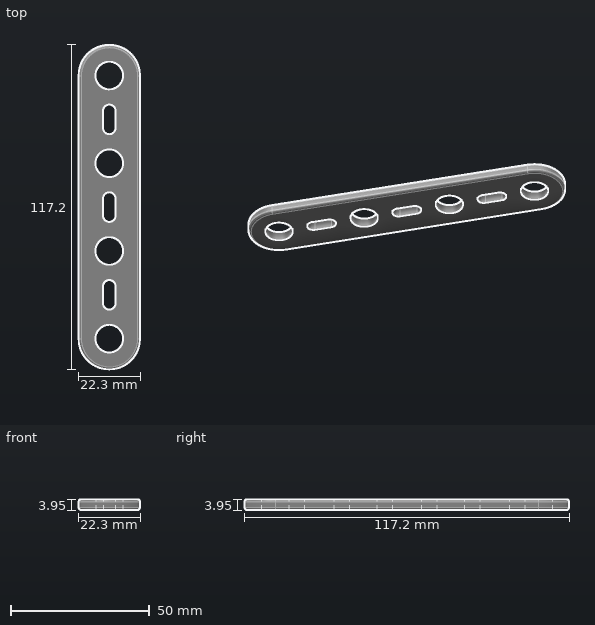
import cadquery as cq

bar_width = 22.25
bar_length = 117.16
bar_thickness = 3.95
edge_rounding = 1.0

hole_count = 4
hole_diameter = 9.9
hole_pitch = (bar_length - bar_width) / (hole_count - 1)

slot_count = hole_count - 1
slot_length = 10.6
slot_width = 4.45

along_y = 90


def make_bar():
    """Flat bar with full-round ends, its top and bottom rims rounded."""
    bar = cq.Workplane("XY").slot2D(bar_length, bar_width, along_y).extrude(bar_thickness)
    return bar.faces("<Z or >Z").edges().fillet(edge_rounding)


def row_along_y(count):
    """Evenly pitched points along Y, centred on the bar."""
    return cq.Workplane("XY").rarray(1, hole_pitch, 1, count)


def make_holes():
    """Cutters for the row of round through holes."""
    return row_along_y(hole_count).circle(hole_diameter / 2).extrude(bar_thickness)


def make_slots():
    """Cutters for the row of through slots."""
    return row_along_y(slot_count).slot2D(slot_length, slot_width, along_y).extrude(bar_thickness)


result = make_bar().cut(make_holes()).cut(make_slots())